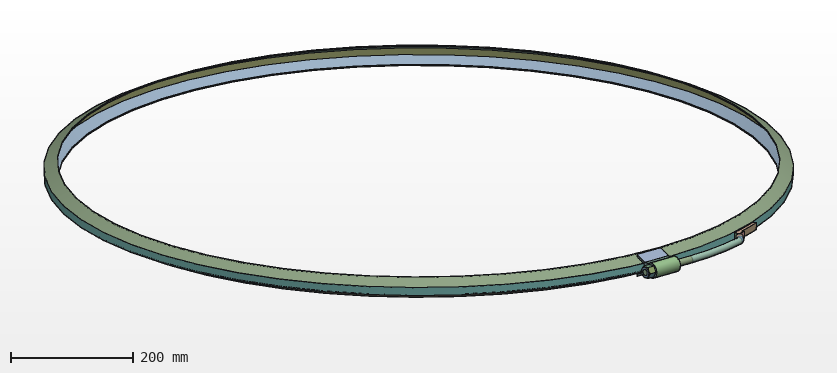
import cadquery as cq
import math

outer_diameter = 1226.77
outer_radius = outer_diameter / 2
web_height = 14.0
ring_height = 35.5
ring_depth = 22.5
ring_sheet = 2.0

coupling_start_y = -1.0
coupling_length = 52.0
coupling_end_y = coupling_start_y - coupling_length
sleeve_sheet = 3.5
sleeve_height = 37.98
barrel_diameter = 26.0
overall_length = 1258.39
barrel_x = overall_length - outer_radius - barrel_diameter / 2
block_height = 20.0

rod_diameter = 12.0
thread_diameter = 10.11
rod_straight_end_y = 32.0
rod_arc_radius = 430.0
rod_arc_angle = math.radians(16.6)
rod_bend_radius = 12.0
rod_bend_angle = math.radians(37)
rod_tail = 13.0

nut_width = 19.0
nut_corners = nut_width / math.cos(math.pi / 6)
nut_length = 14.0
nut_envelope_diameter = nut_corners + 1.0
nut_chamfer = 2.5

strap_thickness = 6.0
strap_height = 12.0
strap_start_angle = 16.3
strap_end_angle = 21.4
lug_length = 15.0
lug_depth = 10.0

flange_slope = (ring_height - web_height) / 2 / ring_depth
flange_angle = math.atan(flange_slope)


def half_web(offset):
    """Half height of the web face lying `offset` outside the ring's outer face."""
    return web_height / 2 + offset * math.tan(math.pi / 4 - flange_angle / 2)


def channel(inner_offset, outer_offset, mouth_x):
    """V section between two offsets of the ring's outer face, open at mouth_x."""
    outer_x = outer_radius + outer_offset
    inner_x = outer_radius + inner_offset
    outer_z = half_web(outer_offset)
    inner_z = half_web(inner_offset)
    outer_mouth_z = outer_z + (outer_x - mouth_x) * flange_slope
    inner_mouth_z = inner_z + (inner_x - mouth_x) * flange_slope
    upper = [
        (outer_x, outer_z),
        (mouth_x, outer_mouth_z),
        (mouth_x, inner_mouth_z),
        (inner_x, inner_z),
    ]
    lower = [(x, -z) for x, z in reversed(upper)]
    return cq.Workplane("XZ").polyline(upper + lower).close()


def along_barrel(start_y):
    """Workplane square to the barrel axis; extrusions from it run towards -Y."""
    return cq.Workplane("XZ", origin=(barrel_x, start_y, 0))


def make_ring():
    section = channel(-ring_sheet, 0, outer_radius - ring_depth)
    return section.revolve(360, (0, 0), (0, 1))


def make_coupling():
    web_x = outer_radius + sleeve_sheet
    flange_rise = sleeve_height / 2 - half_web(sleeve_sheet)
    sleeve = channel(0, sleeve_sheet, web_x - flange_rise / flange_slope).extrude(coupling_length)
    sleeve = sleeve.translate((0, coupling_start_y, 0))

    block_x = web_x - sleeve_sheet / 2
    block = (
        cq.Workplane("XY")
        .box(barrel_x - block_x, coupling_length, block_height, centered=(False, False, True))
        .translate((block_x, coupling_end_y, 0))
    )
    barrel = along_barrel(coupling_start_y).circle(barrel_diameter / 2).extrude(coupling_length)
    bore = along_barrel(coupling_start_y).circle(rod_diameter / 2).extrude(coupling_length)
    return sleeve.union(block).union(barrel).cut(bore)


def moved(point, heading, distance):
    return (
        point[0] + distance * math.cos(heading),
        point[1] + distance * math.sin(heading),
    )


def left_turn(start, heading, radius, angle):
    """Middle and end of an arc that leaves start along heading and turns left."""
    centre = moved(start, heading + math.pi / 2, radius)
    outward = heading - math.pi / 2
    return moved(centre, outward + angle / 2, radius), moved(centre, outward + angle, radius)


def make_rod():
    heading = math.pi / 2
    arc_start = (barrel_x, rod_straight_end_y)
    arc_middle, arc_end = left_turn(arc_start, heading, rod_arc_radius, rod_arc_angle)
    heading += rod_arc_angle
    bend_middle, bend_end = left_turn(arc_end, heading, rod_bend_radius, rod_bend_angle)
    heading += rod_bend_angle
    path = (
        cq.Workplane("XY")
        .moveTo(barrel_x, coupling_end_y)
        .lineTo(*arc_start)
        .threePointArc(arc_middle, arc_end)
        .threePointArc(bend_middle, bend_end)
        .lineTo(*moved(bend_end, heading, rod_tail))
    )
    shank = along_barrel(coupling_end_y).circle(rod_diameter / 2).sweep(path)
    tip = along_barrel(coupling_end_y).circle(thread_diameter / 2).extrude(nut_length)
    return shank.union(tip)


def make_nut():
    hexagon = along_barrel(coupling_end_y).polygon(6, nut_corners).extrude(nut_length)
    envelope = along_barrel(coupling_end_y).circle(nut_envelope_diameter / 2).extrude(nut_length)
    envelope = envelope.faces("<Y").edges().chamfer(nut_chamfer)
    hole = along_barrel(coupling_end_y).circle(thread_diameter / 2).extrude(nut_length)
    return hexagon.intersect(envelope).cut(hole)


def make_strap(rod):
    centre_radius = outer_radius + strap_thickness / 2
    plate = (
        cq.Workplane("XZ")
        .center(centre_radius, 0)
        .rect(strap_thickness, strap_height)
        .revolve(strap_end_angle - strap_start_angle, (-centre_radius, 0), (-centre_radius, 1))
    )
    lug = (
        cq.Workplane("XY")
        .box(lug_depth, lug_length, strap_height, centered=(False, True, True))
        .translate((outer_radius, 0, 0))
    )
    strap = plate.union(lug).rotate((0, 0, 0), (0, 0, 1), strap_start_angle)

    ring_disc = cq.Workplane("XY").circle(outer_radius).extrude(strap_height, both=True)
    return strap.cut(ring_disc).cut(rod)


ring = make_ring()
coupling = make_coupling()
rod = make_rod()
nut = make_nut()
strap = make_strap(rod)

result = cq.Compound.makeCompound([ring.val(), coupling.val(), rod.val(), nut.val(), strap.val()])